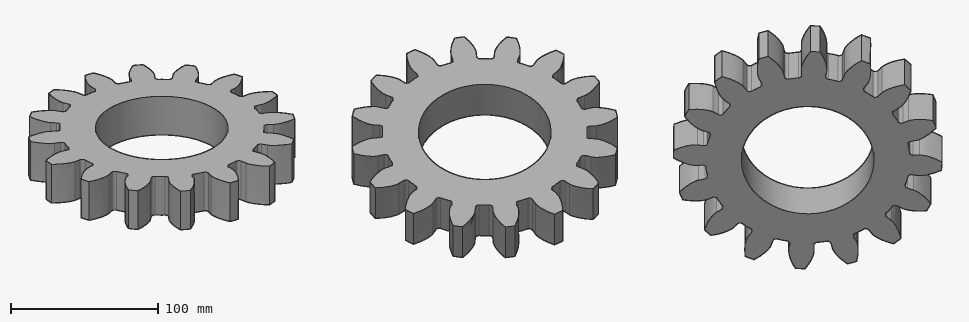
import cadquery as cq
import math

overall_width = 180.3
thickness = 30.0
bore_diameter = 90.2
tooth_count = 16
base_radius = 76.0
root_radius = 69.5
root_fillet_radius = 2.3
tip_half_angle = math.radians(2.1)
flank_segments = 6

tooth_pitch = 2 * math.pi / tooth_count
tip_radius = overall_width / 2 / math.cos(tooth_pitch / 2 - tip_half_angle)
tip_roll = math.sqrt((tip_radius / base_radius) ** 2 - 1)
base_half_angle = tip_half_angle + tip_roll - math.atan(tip_roll)


def polar(radius, angle):
    return (radius * math.cos(angle), radius * math.sin(angle))


def flank_points(center_angle, side):
    """Involute points from base to tip; side is -1 or +1 about the tooth center."""
    points = []
    for step in range(flank_segments + 1):
        roll = tip_roll * step / flank_segments
        radius = base_radius * math.sqrt(1 + roll ** 2)
        half_angle = base_half_angle - (roll - math.atan(roll))
        points.append(polar(radius, center_angle + side * half_angle))
    return points


def gear_outline():
    """Closed outline: radial tooth roots, involute flanks, tip and root arcs."""
    start = polar(root_radius, tooth_pitch / 2 - base_half_angle)
    outline = cq.Workplane("XY").moveTo(*start)
    for tooth in range(tooth_count):
        center_angle = (tooth + 0.5) * tooth_pitch
        rising = flank_points(center_angle, -1)
        falling = flank_points(center_angle, 1)[::-1]
        gap_center = center_angle + tooth_pitch / 2
        next_root = center_angle + tooth_pitch - base_half_angle

        outline = outline.lineTo(*rising[0])
        outline = outline.spline(rising[1:], includeCurrent=True)
        outline = outline.threePointArc(polar(tip_radius, center_angle), falling[0])
        outline = outline.spline(falling[1:], includeCurrent=True)
        outline = outline.lineTo(*polar(root_radius, center_angle + base_half_angle))
        outline = outline.threePointArc(polar(root_radius, gap_center), polar(root_radius, next_root))
    return outline.close()


def root_corner_edges(body):
    """Upright edges where the radial tooth roots meet the root circle."""
    margin = 0.2
    corners = []
    for edge in body.edges("|Z").vals():
        center = edge.Center()
        if math.hypot(center.x, center.y) < root_radius + margin:
            corners.append(edge)
    return body.newObject(corners)


gear = gear_outline().extrude(thickness)
gear = root_corner_edges(gear).fillet(root_fillet_radius)

bore = cq.Workplane("XY").circle(bore_diameter / 2).extrude(thickness)
result = gear.cut(bore)